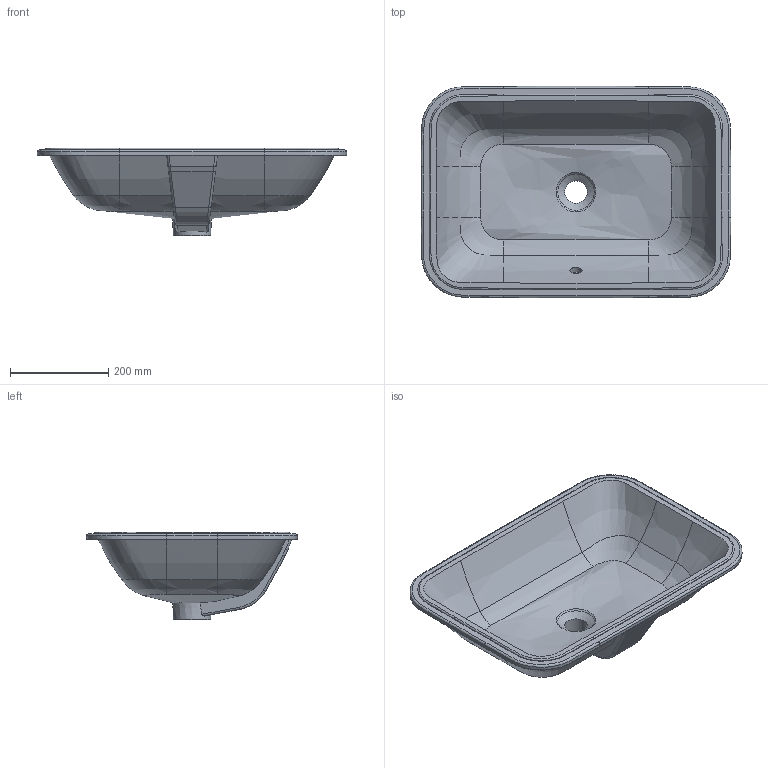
import cadquery as cq
import math


length = 629.59
width = 430.0
height = 179.0
flange_corner = 84.0
flange_bottom = -15.8
flange_top = -4.0
flange_top_round = 4.0
flange_bottom_round = 1.5
band_inset = 16.0
band_round = 3.0

side_bulge = 1.8
seam_x = 149.0
seam_y = 53.5
corner_points = 13

outer_wall = [
    (-10.0, -10.0, 293.0, 193.5, 60.0),
    (-60.0, -60.0, 265.5, 168.5, 58.0),
    (-97.0, -97.0, 241.0, 143.5, 56.0),
]
outer_bend = [
    outer_wall[-1],
    (-116.5, -117.5, 219.5, 123.0, 52.0),
    (-126.5, -129.0, 194.0, 100.0, 44.0),
]
inner_wall = [
    (0.0, 0.0, 284.5, 185.5, 48.0),
    (-42.0, -53.0, 263.0, 160.0, 52.0),
    (-78.0, -98.0, 236.5, 129.5, 52.0),
]
inner_bend = [
    inner_wall[-1],
    (-98.0, -111.0, 216.0, 115.0, 50.0),
    (-110.0, -118.0, 194.5, 98.5, 44.0),
]

drain_diameter = 46.0
drain_lip_diameter = 80.0
drain_lip_z = -129.5
drain_lip_round = 3.0
drain_seat_depth = 13.0
boss_diameter = 76.0
boss_top_z = -144.0
boss_draft = 2.5
boss_edge_round = 1.5

channel_top_width = 103.0
channel_bottom_width = 64.0
channel_edge_round = 5.0
channel_top_y = -203.0
channel_knee_y = -192.5
channel_knee_z = -43.0
channel_knee_round = 95.0
channel_bend_y = -132.4
channel_bend_z = -150.9
channel_bend_round = 75.0
channel_bottom_z = -175.7

overflow_diameter = 25.0
overflow_y = -160.0
overflow_z = -53.0
overflow_depth = 12.0
overflow_tilt = 57.0


def corner_path(half_x, half_y, corner, share):
    """Point at a share of the way along line, arc and line from the end seam to the side seam."""
    end_line = half_y - corner - seam_y
    side_line = half_x - corner - seam_x
    arc = corner * math.pi / 2
    distance = share * (end_line + arc + side_line)
    if distance < end_line:
        return half_x, seam_y + distance
    if distance > end_line + arc:
        return seam_x + side_line - (distance - end_line - arc), half_y
    angle = (distance - end_line) / corner
    return half_x - corner * (1 - math.cos(angle)), half_y - corner * (1 - math.sin(angle))


def outline(end_z, side_z, half_x, half_y, corner):
    """Rounded rectangle as a closed wire whose corners blend from the end height to the side height."""

    def bulged(x, y, z):
        return cq.Vector(
            x - math.copysign(side_bulge * (y / half_y) ** 2, x),
            y - math.copysign(side_bulge * (x / half_x) ** 2, y),
            z,
        )

    end_slope = -2 * side_bulge * seam_y / half_y**2
    side_slope = -2 * side_bulge * seam_x / half_x**2

    def corner_edge(sign_x, sign_y):
        points = []
        for step in range(corner_points):
            share = step / (corner_points - 1)
            x, y = corner_path(half_x, half_y, corner, share)
            blend = share**2 * (3 - 2 * share)
            points.append(bulged(sign_x * x, sign_y * y, end_z + blend * (side_z - end_z)))
        tangents = [
            cq.Vector(sign_x * end_slope, sign_y, 0),
            cq.Vector(-sign_x, -sign_y * side_slope, 0),
        ]
        if sign_x * sign_y < 0:
            points.reverse()
            tangents = [-tangents[1], -tangents[0]]
        return cq.Edge.makeSpline(points, tangents)

    def end_edge(sign):
        start = bulged(sign * half_x, -sign * seam_y, end_z)
        finish = bulged(sign * half_x, sign * seam_y, end_z)
        return cq.Edge.makeThreePointArc(start, cq.Vector(sign * half_x, 0, end_z), finish)

    def side_edge(sign):
        start = bulged(sign * seam_x, sign * half_y, side_z)
        finish = bulged(-sign * seam_x, sign * half_y, side_z)
        return cq.Edge.makeThreePointArc(start, cq.Vector(0, sign * half_y, side_z), finish)

    return cq.Wire.assembleEdges(
        [
            end_edge(1),
            corner_edge(1, 1),
            side_edge(1),
            corner_edge(-1, 1),
            end_edge(-1),
            corner_edge(-1, -1),
            side_edge(-1),
            corner_edge(1, -1),
        ]
    )


def bowl(wall_levels, bend_levels, drain_radius, drain_z):
    """Solid filling a bowl: flat lid, wall, bend and a floor sagging through a circle at the drain."""
    wall_wires = [outline(*level) for level in wall_levels]
    bend_wires = [outline(*level) for level in bend_levels]
    wall = cq.occ_impl.shapes.loft(wall_wires)
    bend = cq.occ_impl.shapes.loft(bend_wires)
    lid = cq.Face.makeFromWires(wall_wires[0])
    drain_circle = cq.Edge.makeCircle(drain_radius, cq.Vector(0, 0, drain_z))
    floor = cq.Face.makeNSidedSurface(bend_wires[-1].Edges(), [drain_circle])
    shell = cq.Shell.makeShell([lid, floor] + wall.Faces() + bend.Faces())
    return cq.Workplane(cq.Solid.makeSolid(shell).fix())


def plate(inset, bottom, top):
    """Upright plate with the rim outline moved inwards by the inset."""
    wire = outline(bottom, bottom, length / 2 - inset, width / 2 - inset, flange_corner - inset)
    return cq.Workplane(cq.Solid.extrudeLinear(wire, [], cq.Vector(0, 0, top - bottom)))


def rim():
    flange = plate(0, flange_bottom, flange_top)
    flange = flange.faces(">Z").edges().fillet(flange_top_round)
    flange = flange.faces("<Z").edges().fillet(flange_bottom_round)
    band = plate(band_inset, flange_bottom, 0).faces(">Z").edges().fillet(band_round)
    return flange.union(band)


def drain_boss():
    boss = cq.Workplane("XY", origin=(0, 0, -height)).circle(boss_diameter / 2)
    boss = boss.extrude(height + drain_lip_z, taper=-boss_draft)
    return boss.faces("<Z").edges().fillet(boss_edge_round)


def channel():
    """Overflow channel: side profile cut to a taper that narrows downwards."""
    side = (
        cq.Workplane("YZ")
        .moveTo(0, flange_bottom)
        .lineTo(channel_top_y, flange_bottom)
        .lineTo(channel_knee_y, channel_knee_z)
        .lineTo(channel_bend_y, channel_bend_z)
        .lineTo(0, channel_bottom_z)
        .close()
        .extrude(channel_top_width, both=True)
    )
    knee_point = (0, channel_knee_y, channel_knee_z)
    bend_point = (0, channel_bend_y, channel_bend_z)
    side = side.edges(cq.selectors.NearestToPointSelector(knee_point)).fillet(channel_knee_round)
    side = side.edges(cq.selectors.NearestToPointSelector(bend_point)).fillet(channel_bend_round)
    taper = (
        cq.Workplane("XZ")
        .moveTo(-channel_top_width / 2, flange_bottom)
        .lineTo(channel_top_width / 2, flange_bottom)
        .lineTo(channel_bottom_width / 2, channel_bottom_z)
        .lineTo(-channel_bottom_width / 2, channel_bottom_z)
        .close()
        .extrude(width)
    )
    body = side.intersect(taper)

    def on_outer_face(edge):
        middle = edge.Center()
        return abs(middle.x) > channel_bottom_width / 4 and middle.y < -1 and middle.z < flange_bottom - 1

    return body.edges().filter(on_outer_face).edges("not |X").fillet(channel_edge_round)


def drain_cutter():
    seat_z = drain_lip_z - drain_seat_depth
    lip_radius = drain_lip_diameter / 2
    hole_radius = drain_diameter / 2
    seat_radius = lip_radius - drain_lip_round
    return (
        cq.Workplane("XZ")
        .moveTo(0, drain_lip_z + drain_lip_round)
        .lineTo(lip_radius + drain_lip_round, drain_lip_z + drain_lip_round)
        .lineTo(seat_radius, drain_lip_z - drain_lip_round)
        .lineTo(hole_radius, seat_z)
        .lineTo(hole_radius, -height)
        .lineTo(0, -height)
        .close()
        .revolve(360, (0, 0, 0), (0, 1, 0))
    )


def overflow_cutter():
    tilt = math.radians(overflow_tilt)
    plane = cq.Plane(
        origin=(0, overflow_y, overflow_z),
        xDir=(1, 0, 0),
        normal=(0, -math.sin(tilt), -math.cos(tilt)),
    )
    return cq.Workplane(plane).circle(overflow_diameter / 2).extrude(overflow_depth, both=True)


outer = bowl(outer_wall, outer_bend, boss_diameter / 2, boss_top_z)
inner = bowl(inner_wall, inner_bend, drain_lip_diameter / 2, drain_lip_z)
result = rim().union(outer.union(channel()).union(drain_boss()))
result = result.cut(inner).cut(drain_cutter()).cut(overflow_cutter())